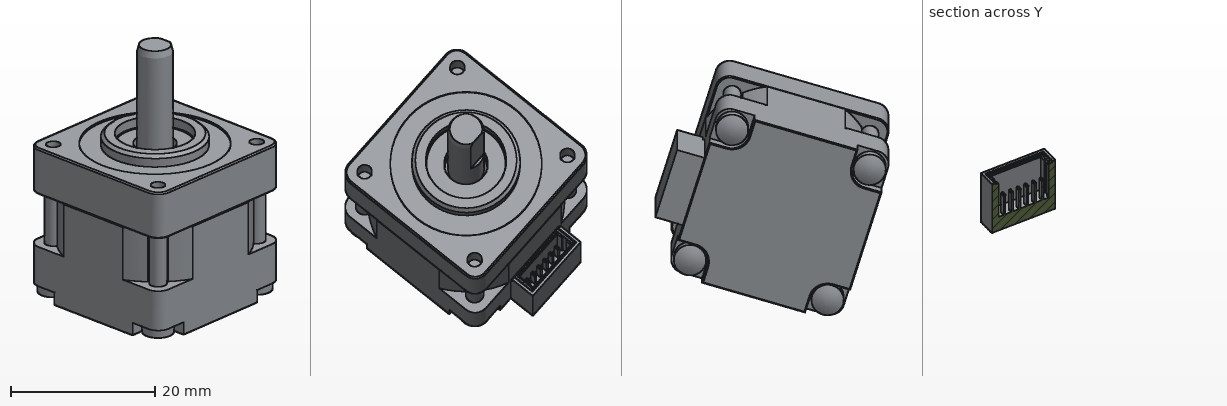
import cadquery as cq
import math

housing_width = 25.0
corner_radius = 2.0
housing_height = 23.0
cap_bottom = 16.0
base_top = 8.0
edge_chamfer = 0.23
joint_chamfer = 0.2
bottom_chamfer = 0.15
stator_radius = 13.7

face_recess_radius = 10.53
face_recess_depth = 0.25
collar_radius = 7.52
collar_top = 24.5
collar_chamfer = 0.5
bore_radius = 5.6
bore_floor = housing_height
floor_chamfer = 0.1
shaft_clearance_radius = 3.05
shaft_clearance_depth = 1.98
funnel_radius = 2.93

screw_offset = 10.0
screw_radius = 1.25
screw_clearance_radius = 1.5
mount_hole_radius = 1.03
mount_hole_depth = 3.05
head_pocket_radius = 2.5
head_pocket_height = 2.0
head_radius = 2.25
head_rim = 0.65
dome_height = 0.5

shaft_radius = 2.5
shaft_top = 38.0
shaft_bottom = cap_bottom
tip_chamfer_height = 1.0
tip_chamfer_width = 0.25
flat_bottom = 28.0
flat_distance = 2.05

connector_width = 10.35
connector_reach = 4.0
connector_height = 8.7
back_step_height = 7.95
back_step_depth = 0.25
rim_inner_width = 9.45
rim_thickness = 0.45
rim_depth = 0.2
rim_draft = 0.1
cavity_width = 8.6
cavity_back = 0.55
cavity_depth_y = 2.7
cavity_floor = 2.5
lead_in_depth = 0.23
lead_in_end = 0.23
lead_in_side = 0.1
far_ledge_drop = 0.1
notch_width = 0.75
notch_back = 1.5
pin_count = 6
pin_pitch = 1.25
pin_width = 0.38
pin_depth = 0.7
pin_center = 1.35
pin_top = 6.08
pin_tip_height = 0.23
pin_tip_inset = 0.1

housing_side = housing_width / 2
corner_signs = [(sx, sy) for sx in (-1, 1) for sy in (-1, 1)]
screw_points = [(sx * screw_offset, sy * screw_offset) for sx, sy in corner_signs]


def slab(bottom, top):
    """Rounded square block of the housing outline."""
    block = cq.Workplane("XY").workplane(offset=bottom).rect(housing_width, housing_width)
    return block.extrude(top - bottom).edges("|Z").fillet(corner_radius)


def cylinder(radius, bottom, top, points=((0, 0),)):
    """Upright cylinders of one size at the given points."""
    return cq.Workplane("XY").workplane(offset=bottom).pushPoints(points).circle(radius).extrude(top - bottom)


def head_pockets():
    """Corner pockets for the screw heads, each with its inner corner rounded about the screw axis."""
    width = housing_side - screw_offset + head_pocket_radius
    center = housing_side - width / 2
    points = [(sx * center, sy * center) for sx, sy in corner_signs]
    pockets = cq.Workplane("XY").pushPoints(points).rect(width, width).extrude(head_pocket_height)
    inner_edges = cq.selectors.BoxSelector(
        (-screw_offset, -screw_offset, 0), (screw_offset, screw_offset, head_pocket_height)
    )
    return pockets.edges("|Z").edges(inner_edges).fillet(head_pocket_radius)


def housing_blocks():
    """Rear block with its screw head pockets, round-cornered stator and front cap."""
    rear = slab(0, base_top).cut(head_pockets()).faces("<Z").chamfer(bottom_chamfer)
    stator = cq.Workplane("XY").workplane(offset=base_top).rect(housing_width, housing_width)
    stator = stator.extrude(cap_bottom - base_top).intersect(cylinder(stator_radius, base_top, cap_bottom))
    stator = stator.cut(cylinder(screw_clearance_radius, base_top, cap_bottom, screw_points))
    cap = slab(cap_bottom, housing_height).faces("<Z").chamfer(joint_chamfer)
    cap = cap.faces(">Z").chamfer(edge_chamfer)
    return rear.union(stator).union(cap)


def screw(x, y):
    """Pan-head screw: a shank up to the cap and a domed head pointing down."""
    dome_radius = (head_radius**2 + dome_height**2) / (2 * dome_height)
    half_angle = math.asin(head_radius / dome_radius) / 2
    dome_center = head_rim - dome_height + dome_radius
    dome_middle = (dome_radius * math.sin(half_angle), dome_center - dome_radius * math.cos(half_angle))
    profile = (
        cq.Workplane("XZ")
        .moveTo(0, head_rim - dome_height)
        .threePointArc(dome_middle, (head_radius, head_rim))
        .lineTo(head_radius, head_pocket_height)
        .lineTo(screw_radius, head_pocket_height)
        .lineTo(screw_radius, cap_bottom + joint_chamfer)
        .lineTo(0, cap_bottom + joint_chamfer)
        .close()
    )
    return profile.revolve(360, (0, 0, 0), (0, 1, 0)).translate((x, y, 0))


def bearing_bore():
    """Collar bore, then a clearance hole, a funnel and a blind hole round the shaft."""
    funnel_top = bore_floor - shaft_clearance_depth
    funnel_bottom = funnel_top - (funnel_radius - shaft_radius)
    return (
        cq.Workplane("XZ")
        .moveTo(0, shaft_bottom)
        .lineTo(shaft_radius, shaft_bottom)
        .lineTo(shaft_radius, funnel_bottom)
        .lineTo(funnel_radius, funnel_top)
        .lineTo(shaft_clearance_radius, funnel_top)
        .lineTo(shaft_clearance_radius, bore_floor)
        .lineTo(bore_radius - floor_chamfer, bore_floor)
        .lineTo(bore_radius, bore_floor + floor_chamfer)
        .lineTo(bore_radius, collar_top)
        .lineTo(0, collar_top)
        .close()
        .revolve(360, (0, 0, 0), (0, 1, 0))
    )


def make_housing():
    """Housing with its corner screws, collar, bore and mounting holes."""
    body = housing_blocks()
    for x, y in screw_points:
        body = body.union(screw(x, y))
    recess_floor = housing_height - face_recess_depth
    body = body.cut(cylinder(face_recess_radius, recess_floor, housing_height))
    collar = cylinder(collar_radius, recess_floor, collar_top).faces(">Z").chamfer(collar_chamfer)
    body = body.union(collar).cut(bearing_bore())
    hole_bottom = housing_height - mount_hole_depth
    return body.cut(cylinder(mount_hole_radius, hole_bottom, housing_height, screw_points))


def make_shaft():
    """Round shaft with a bevelled tip and a flat on its +Y side."""
    rod = cylinder(shaft_radius, shaft_bottom, shaft_top)
    rod = rod.faces(">Z").chamfer(tip_chamfer_height, tip_chamfer_width)
    flat_cut = cq.Workplane("XY").box(
        2 * shaft_radius, shaft_radius, shaft_top - flat_bottom, centered=(True, False, False)
    )
    return rod.cut(flat_cut.translate((0, flat_distance, flat_bottom)))


def connector_box(width, near, far, bottom, top):
    """Block centred on X, between two distances from the housing wall."""
    block = cq.Workplane("XY").box(width, far - near, top - bottom, centered=(True, False, False))
    return block.translate((0, housing_side + near, bottom))


def drafted_pocket(width, near, far, bottom, top, end_draft, side_draft):
    """Pocket whose walls lean in from the mouth to the bottom."""
    depth = far - near
    return (
        cq.Workplane("XY")
        .workplane(offset=top)
        .center(0, housing_side + (near + far) / 2)
        .rect(width, depth)
        .workplane(offset=bottom - top)
        .rect(width - 2 * end_draft, depth - 2 * side_draft)
        .loft(ruled=True)
    )


def make_pin(x):
    """Rectangular contact pin with a bevelled tip."""
    y = housing_side + pin_center
    tip_bottom = pin_top - pin_tip_height
    post = cq.Workplane("XY").workplane(offset=cavity_floor).center(x, y).rect(pin_width, pin_depth)
    post = post.extrude(tip_bottom - cavity_floor)
    tip = (
        cq.Workplane("XY")
        .workplane(offset=tip_bottom)
        .center(x, y)
        .rect(pin_width, pin_depth)
        .workplane(offset=pin_tip_height)
        .rect(pin_width - 2 * pin_tip_inset, pin_depth - 2 * pin_tip_inset)
        .loft(ruled=True)
    )
    return post.union(tip)


def make_connector():
    """Connector shell with its contact pins."""
    ledge = connector_height - rim_depth
    cavity_far = cavity_back + cavity_depth_y
    body = connector_box(connector_width, 0, connector_reach, 0, connector_height)
    body = body.cut(connector_box(connector_width, 0, back_step_depth, back_step_height, connector_height))
    rim_far = connector_reach - rim_thickness
    body = body.cut(
        drafted_pocket(rim_inner_width, -rim_far, rim_far, ledge, connector_height, rim_draft, rim_draft)
    )
    straight_far = cavity_far - lead_in_side
    ledge_width = rim_inner_width - 2 * rim_draft
    far_ledge = ledge - far_ledge_drop
    body = body.cut(connector_box(ledge_width, straight_far, rim_far - rim_draft, far_ledge, ledge))
    lead_in_bottom = ledge - lead_in_depth
    body = body.cut(
        drafted_pocket(
            cavity_width, cavity_back, cavity_far, lead_in_bottom, ledge, lead_in_end, lead_in_side
        )
    )
    straight_width = cavity_width - 2 * lead_in_end
    body = body.cut(
        connector_box(straight_width, cavity_back + lead_in_side, straight_far, cavity_floor, lead_in_bottom)
    )
    body = body.cut(connector_box(cavity_width, notch_back, notch_back + notch_width, cavity_floor, ledge))
    for index in range(pin_count):
        body = body.union(make_pin((index - (pin_count - 1) / 2) * pin_pitch))
    return body


housing = make_housing()
shaft = make_shaft()
connector = make_connector()

result = cq.Compound.makeCompound([housing.val(), shaft.val(), connector.val()])